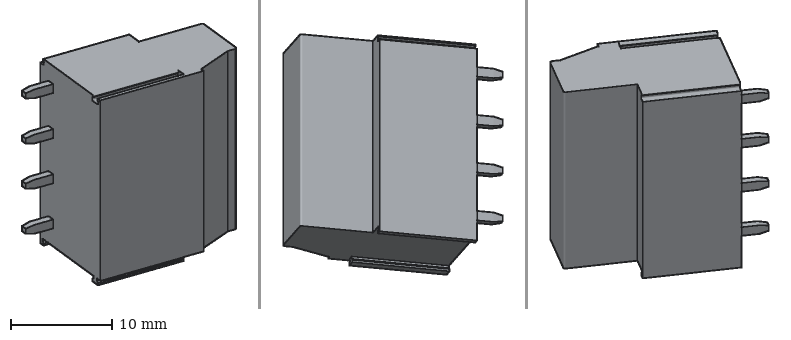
import cadquery as cq

PIN_COUNT = 4
PITCH = 5.0
HEIGHT = PIN_COUNT * PITCH
WIDTH = 11.2
DEPTH = 17.4

BASE_DEPTH = 9.97
STEP_X = 2.42
SHELF_DEPTH = 12.04
SHELF_WIDTH = 0.47
SLOPE_TOP_DEPTH = 16.31
CROWN_INSET = 2.4
CROWN_ROUND = 0.2
CROWN_CHAMFER = 0.2

RAIL_HEIGHT = 0.66
RAIL_NECK_HEIGHT = 0.25
RAIL_FLARE_HEIGHT = 0.43
HOOK_NECK = 0.45
HOOK_HEAD = 0.68
FLARE = HOOK_HEAD - HOOK_NECK
DOVETAIL_X = 10.25
DOVETAIL_HALF_NECK = 0.33

GROOVE_CLEARANCE = 0.05
GROOVE_NECK_DEPTH = 0.19
GROOVE_FLARE_DEPTH = 0.35
GROOVE_LIP_ROUND = 0.17
GROOVE_FLOOR_ROUND = 0.12

PIN_X = 2.0
PIN_WIDTH = 0.87
PIN_THICKNESS = 1.0
PIN_LENGTH = 3.14
PIN_TAPER_LENGTH = 0.97
PIN_TIP_WIDTH = 0.7
PIN_TIP_THICKNESS = 0.58


def edge_at(x, y, z):
    """Selector for the edge whose centre is nearest to a point."""
    return cq.selectors.NearestToPointSelector((x, y, z))


def make_housing():
    crown_x = WIDTH - CROWN_INSET
    outline = [
        (0, 0),
        (WIDTH, 0),
        (WIDTH, SHELF_DEPTH),
        (WIDTH - SHELF_WIDTH, SHELF_DEPTH),
        (crown_x, SLOPE_TOP_DEPTH),
        (crown_x, DEPTH - CROWN_CHAMFER),
        (crown_x - CROWN_CHAMFER, DEPTH),
        (STEP_X, DEPTH),
        (STEP_X, BASE_DEPTH),
        (0, BASE_DEPTH),
    ]
    block = cq.Workplane("XY").polyline(outline).close().extrude(HEIGHT)
    return block.edges(edge_at(STEP_X, DEPTH, HEIGHT / 2)).fillet(CROWN_ROUND)


def flank(neck_x, head_x, neck_depth, flare_depth):
    """XZ points down one side of a rail or groove, from its root or mouth at Z = 0."""
    return [
        (neck_x, 0),
        (neck_x, -neck_depth),
        (head_x, -flare_depth),
        (head_x, -RAIL_HEIGHT),
    ]


def make_interlock(clearance, neck_depth, flare_depth):
    """Half and full dovetail below Z = 0, as long as the base, necks widened by a clearance."""
    half_neck = DOVETAIL_HALF_NECK + clearance
    half_head = DOVETAIL_HALF_NECK + FLARE
    hook_flank = flank(HOOK_NECK + clearance, HOOK_HEAD, neck_depth, flare_depth)
    left_flank = flank(DOVETAIL_X - half_neck, DOVETAIL_X - half_head, neck_depth, flare_depth)
    right_flank = flank(DOVETAIL_X + half_neck, DOVETAIL_X + half_head, neck_depth, flare_depth)
    section = cq.Workplane("XZ")
    hook = section.polyline([(0, -RAIL_HEIGHT), (0, 0)] + hook_flank).close().extrude(-BASE_DEPTH)
    dovetail = section.polyline(left_flank[::-1] + right_flank).close().extrude(-BASE_DEPTH)
    return hook.union(dovetail)


def cut_grooves(housing):
    half_neck = DOVETAIL_HALF_NECK + GROOVE_CLEARANCE
    half_head = DOVETAIL_HALF_NECK + FLARE
    mouth_xs = [HOOK_NECK + GROOVE_CLEARANCE, DOVETAIL_X - half_neck, DOVETAIL_X + half_neck]
    floor_xs = [HOOK_HEAD, DOVETAIL_X - half_head, DOVETAIL_X + half_head]
    middle_y = BASE_DEPTH / 2
    cutter = make_interlock(GROOVE_CLEARANCE, GROOVE_NECK_DEPTH, GROOVE_FLARE_DEPTH)
    for x in floor_xs:
        cutter = cutter.edges(edge_at(x, middle_y, -RAIL_HEIGHT)).fillet(GROOVE_FLOOR_ROUND)
    housing = housing.cut(cutter.translate((0, 0, HEIGHT)))
    for x in mouth_xs:
        housing = housing.edges(edge_at(x, middle_y, HEIGHT)).fillet(GROOVE_LIP_ROUND)
    return housing


def make_pin(z):
    """Straight shank with a pyramidal tip, pointing toward -Y."""
    shank_length = PIN_LENGTH - PIN_TAPER_LENGTH
    section = cq.Workplane("XZ", origin=(PIN_X, 0, z))
    shank = section.rect(PIN_WIDTH, PIN_THICKNESS).extrude(shank_length)
    tip = (
        section.workplane(offset=shank_length)
        .rect(PIN_WIDTH, PIN_THICKNESS)
        .workplane(offset=PIN_TAPER_LENGTH)
        .rect(PIN_TIP_WIDTH, PIN_TIP_THICKNESS)
        .loft()
    )
    return shank.union(tip)


rails = make_interlock(0, RAIL_NECK_HEIGHT, RAIL_FLARE_HEIGHT)
result = cut_grooves(make_housing()).union(rails)
for index in range(PIN_COUNT):
    result = result.union(make_pin((index + 0.5) * PITCH))